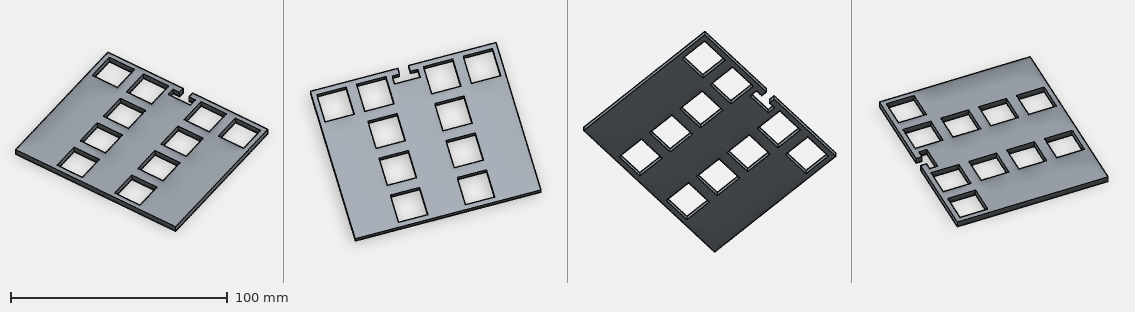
import cadquery as cq

plate_length = 89.0
plate_width = 76.0
plate_thickness = 3.0

window_size = 14.0
window_pitch = 19.05
column_offset = 16.0
row_count = 4

neck_width = 5.2
neck_depth = 3.0
notch_width = 12.3
notch_depth = 7.0


def window_centers():
    """Window centers, mirrored about the YZ plane."""
    top_row = (row_count - 1) / 2 * window_pitch
    centers = []
    for side in (-1, 1):
        for row in range(row_count):
            centers.append((side * column_offset, top_row - row * window_pitch))
        centers.append((side * (column_offset + window_pitch), top_row))
    return centers


def t_notch():
    """Cutter for the notch: a narrow neck opening into a wider slot."""
    edge = plate_width / 2
    neck = (
        cq.Workplane("XY")
        .center(0, edge - notch_depth / 2)
        .rect(neck_width, notch_depth)
        .extrude(plate_thickness)
    )
    slot = (
        cq.Workplane("XY")
        .center(0, edge - (neck_depth + notch_depth) / 2)
        .rect(notch_width, notch_depth - neck_depth)
        .extrude(plate_thickness)
    )
    return neck.union(slot)


plate = cq.Workplane("XY").rect(plate_length, plate_width).extrude(plate_thickness)
windows = (
    cq.Workplane("XY")
    .pushPoints(window_centers())
    .rect(window_size, window_size)
    .extrude(plate_thickness)
)
result = plate.cut(windows).cut(t_notch())